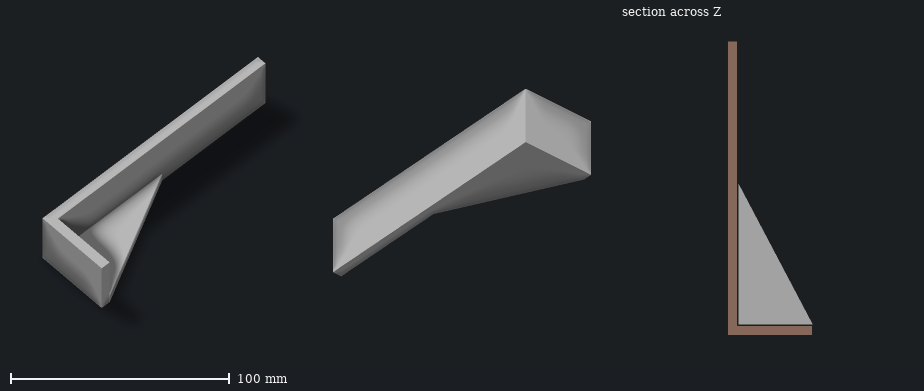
import cadquery as cq

width = 39.4
length = 135.0
height = 30.0
thickness = 5.0
gusset_length = 65.3

wall = (
    cq.Workplane("XY")
    .polyline([
        (0, 0),
        (width, 0),
        (width, thickness),
        (thickness, thickness),
        (thickness, length),
        (0, length),
    ])
    .close()
    .extrude(height)
)

gusset = (
    cq.Workplane("XY")
    .polyline([
        (0, 0),
        (width, 0),
        (width, thickness),
        (thickness, thickness + gusset_length),
        (0, thickness + gusset_length),
    ])
    .close()
    .extrude(thickness)
)

result = wall.union(gusset)